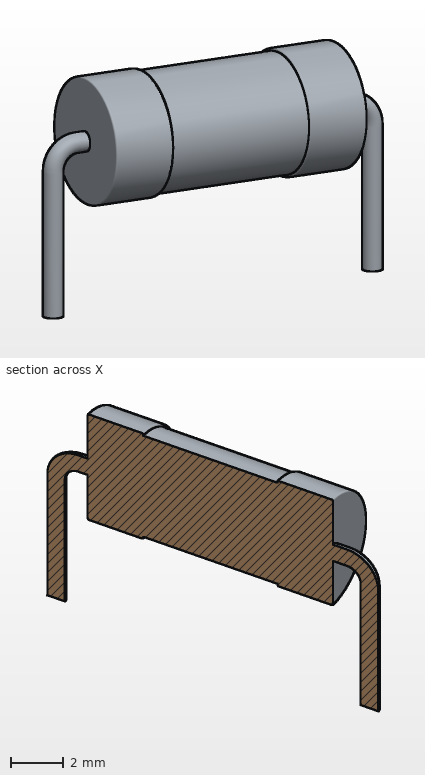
import cadquery as cq

lead_span = 14.77
cap_diameter = 5.0
barrel_diameter = 4.8
lead_diameter = 0.8
total_height = 9.25
body_length = 10.96
cap_length = 2.5
body_offset = -0.1
bend_radius = 1.0
cap_edge_fillet = 0.07

lead_y = (lead_span - lead_diameter) / 2
lead_bottom = cap_diameter / 2 - total_height


def cylinder_along_y(diameter, start, length):
    plane = cq.Plane(origin=(0, start, 0), xDir=(1, 0, 0), normal=(0, 1, 0))
    return cq.Workplane(plane).circle(diameter / 2).extrude(length)


def end_cap(start):
    """Cap with both rims rounded."""
    return cylinder_along_y(cap_diameter, start, cap_length).edges().fillet(cap_edge_fillet)


def bent_lead(side):
    """Round wire from inside the body, bent down; side is +1 or -1 along Y."""
    bend_start = side * (lead_y - bend_radius)
    path = (
        cq.Workplane("YZ")
        .moveTo(body_offset + side * body_length / 4, 0)
        .lineTo(bend_start, 0)
        .tangentArcPoint((side * lead_y, -bend_radius), relative=False)
        .lineTo(side * lead_y, lead_bottom)
    )
    profile_plane = cq.Plane(
        origin=(0, body_offset + side * body_length / 4, 0), xDir=(1, 0, 0), normal=(0, side, 0)
    )
    return cq.Workplane(profile_plane).circle(lead_diameter / 2).sweep(path)


body_start = body_offset - body_length / 2
body_end = body_start + body_length

barrel = cylinder_along_y(barrel_diameter, body_start + cap_length / 2, body_length - cap_length)

result = barrel.union(end_cap(body_start)).union(end_cap(body_end - cap_length))
for side in (-1, 1):
    result = result.union(bent_lead(side))